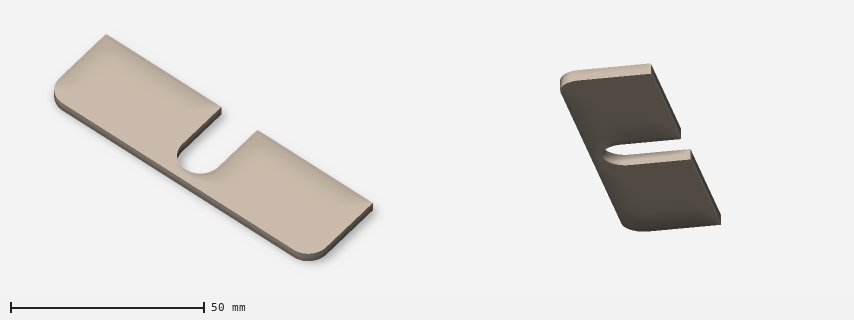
import cadquery as cq

length = 89.0
width = 25.0
thickness = 3.0
corner_radius = 6.0

slot_width = 12.0
slot_depth = 22.0


def make_plate():
    """Flat plate with its two front corners rounded."""
    plate = cq.Workplane("XY").box(length, width, thickness)
    return plate.edges("|Z and <Y").fillet(corner_radius)


def make_slot():
    """Cutter for the slot: straight sides ending in a half circle."""
    half_slot = slot_width / 2
    back_y = width / 2
    bottom_y = back_y - slot_depth
    arc_start_y = bottom_y + half_slot
    return (
        cq.Workplane("XY")
        .moveTo(-half_slot, back_y)
        .lineTo(-half_slot, arc_start_y)
        .threePointArc((0, bottom_y), (half_slot, arc_start_y))
        .lineTo(half_slot, back_y)
        .close()
        .extrude(thickness, both=True)
    )


result = make_plate().cut(make_slot())